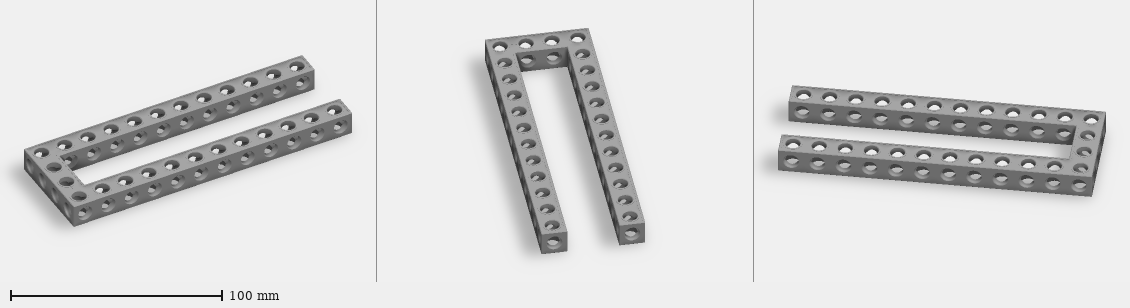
import cadquery as cq

length = 150
rows = 12
columns = 4
pitch = length / rows
width = columns * pitch

hole_diameter = 7.0
hole_chamfer = 0.3
edge_chamfer = 0.3

rim_width = 1.2
ring_diameter = 9.2
recess_depth = 0.2
rib_width = 0.3


def grid(count):
    """Centres of a row of cells, symmetric about the origin."""
    return [(i - (count - 1) / 2) * pitch for i in range(count)]


column_places = grid(columns)
row_places = grid(rows)
cross_bar_y = row_places[0]
outer_columns = (column_places[0], column_places[-1])


def u_block(inset, height):
    """U-shaped block open toward +Y, its outline moved inward by inset all round."""
    bar_width = pitch - 2 * inset
    arm_places = [(x, 0) for x in outer_columns]
    plane = cq.Workplane("XY")
    cross_bar = plane.center(0, cross_bar_y).rect(width - 2 * inset, bar_width).extrude(height)
    arms = plane.pushPoints(arm_places).rect(bar_width, length - 2 * inset).extrude(height)
    return cross_bar.union(arms)


def chamfered_pin(span):
    """Cutter along Z for a through hole of the given length, flared at both mouths."""
    mouth_radius = hole_diameter / 2 + hole_chamfer
    pin = cq.Workplane("XY").circle(hole_diameter / 2).extrude(span)
    flare = cq.Workplane("XY").circle(mouth_radius).extrude(hole_chamfer, taper=45)
    return pin.union(flare).union(flare.mirror("XY").translate((0, 0, span)))


def along_x(pin, span):
    """Lay a pin along X at mid-height, centred on the origin."""
    return pin.rotate((0, 0, 0), (0, 1, 0), 90).translate((-span / 2, 0, pitch / 2))


def along_y(pin, span):
    """Lay a pin along Y at mid-height, centred on the origin."""
    return pin.rotate((0, 0, 0), (1, 0, 0), -90).translate((0, -span / 2, pitch / 2))


def drill(body, cutter, places):
    """Cut a copy of the cutter at each place."""
    copies = cq.Workplane("XY").pushPoints(places).eachpoint(cutter.val().moved)
    return body.cut(copies)


body = u_block(0, pitch)
body = body.edges("#Z or (|Z and (>Y or <Y))").chamfer(edge_chamfer)

vertical_holes = [(x, y) for x in outer_columns for y in row_places]
vertical_holes += [(x, cross_bar_y) for x in column_places[1:-1]]
rib_x = (column_places[-2] + column_places[-1]) / 2
rings = cq.Workplane("XY").pushPoints(vertical_holes).circle(ring_diameter / 2).extrude(recess_depth)
rib = cq.Workplane("XY").center(rib_x, cross_bar_y).rect(pitch - hole_diameter, rib_width).extrude(recess_depth)
recess = u_block(rim_width, recess_depth).cut(rings).cut(rib)
body = body.cut(recess.translate((0, 0, pitch - recess_depth)))

pin = chamfered_pin(pitch)
body = drill(body, pin, [(x, y, 0) for x, y in vertical_holes])

short_pin_x = along_x(pin, pitch)
body = drill(body, short_pin_x, [(x, y, 0) for x in outer_columns for y in row_places[1:]])
body = drill(body, along_x(chamfered_pin(width), width), [(0, cross_bar_y, 0)])

short_pin_y = along_y(pin, pitch)
body = drill(body, short_pin_y, [(x, cross_bar_y, 0) for x in column_places[1:-1]])
body = drill(body, along_y(chamfered_pin(length), length), [(x, 0, 0) for x in outer_columns])

result = body